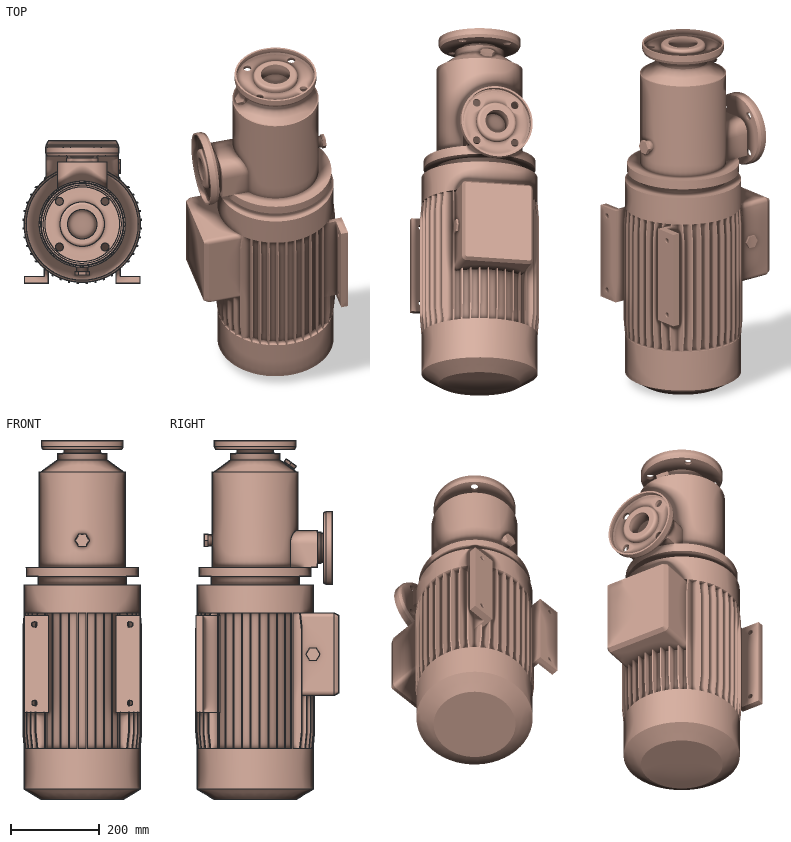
import cadquery as cq
import math

total_height = 810.0
base_taper_top = 23.5
fins_bottom = 116.0
fins_top = 421.0
motor_top = 484.0
casing_flange_bottom = 504.0
casing_flange_top = 524.0
cone_bottom = 739.0
collar_bottom = 766.0
collar_top = 781.0

motor_radius = 131.0
base_radius = 92.0
fin_root_radius = 117.0
fin_tip_radius = 134.5
spigot_radius = 100.0
casing_flange_radius = 126.0
casing_radius = 97.0
cone_base_radius = 94.0
collar_radius = 56.0

fins_per_side = 10
fin_pitch_angle = 9.0
fin_pitch_radius = 129.0
fin_thickness = 2.5
fin_end_taper = 36.5

box_width = 164.0
box_back = 189.0
box_bottom = 235.0
box_edge_fillet = 10.0
lid_chamfer_depth = 10.5
lid_chamfer_width = 6.0

hexagon_sides = 6
gland_corner_diameter = 31.5
gland_length = 5.0
gland_y = 130.5

foot_outer_x = 130.5
foot_inner_x = 76.0
foot_front = -134.0
foot_thickness = 16.0
foot_leg_thickness = 10.0
foot_bottom = 197.0
foot_top = 415.5
foot_hole_x = 108.0
foot_hole_diameter = 12.0
foot_hole_heights = (218.0, 395.0)

flange_thickness = 20.0
flange_rim = 4.0
flange_recess_depth = 13.0
flange_recess_chamfer_width = 4.0
flange_recess_chamfer_height = 2.0
flange_chamfer_height = 6.5
flange_chamfer_width = 3.0
stub_lip_fillet = 6.5
bolt_hole_diameter = 18.0
bolt_count = 4
first_bolt_angle = 45
neck_foot_width = 2.5

inlet_flange_radius = 92.0
inlet_bolt_radius = 73.0
inlet_stub_radius = 50.0
inlet_neck_radius = 41.0
inlet_neck_foot_height = 2.0
inlet_bore_radius = 33.0

outlet_flange_radius = 83.0
outlet_bolt_radius = 62.0
outlet_stub_radius = 45.0
outlet_neck_radius = 33.0
outlet_neck_foot_height = 9.0
outlet_bore_radius = 27.0
outlet_face_y = 174.0
outlet_height = 568.0

outlet_block_width = 112.5
outlet_block_back = 140.0
outlet_block_top = 607.5
outlet_block_fillet = 30.0

plug_stem_radius = 13.0
plug_head_across_flats = 28.0
plug_head_thickness = 8.0
drain_plug_height = 585.0
drain_stem_length = 10.0
vent_plug_radius = 75.0
vent_stem_length = 2.5
plug_embedding = 4.0


def revolved(points):
    """Turn a closed (radius, height) outline about the Z axis."""
    return cq.Workplane("XZ").polyline(points).close().revolve(360, (0, 0, 0), (0, 1, 0))


def block(x_range, y_range, z_range):
    """Box between the given limits along X, Y and Z."""
    lows, highs = zip(x_range, y_range, z_range)
    sizes = [high - low for low, high in zip(lows, highs)]
    return cq.Workplane("XY").box(*sizes, centered=False).translate(lows)


def motor_core():
    return revolved([
        (0, 0),
        (base_radius, 0),
        (motor_radius, base_taper_top),
        (motor_radius, fins_bottom),
        (fin_root_radius, fins_bottom),
        (fin_root_radius, fins_top),
        (motor_radius, fins_top),
        (motor_radius, motor_top),
        (0, motor_top),
    ])


def cooling_fins():
    """Parallel plates in X and Y, trimmed to a round outline that tapers at both ends."""
    outline = revolved([
        (0, fins_bottom),
        (motor_radius, fins_bottom),
        (fin_tip_radius, fins_bottom + fin_end_taper),
        (fin_tip_radius, fins_top - fin_end_taper),
        (motor_radius, fins_top),
        (0, fins_top),
    ])
    fin_height = fins_top - fins_bottom
    fin_span = 2 * fin_tip_radius
    plates = cq.Workplane("XY")
    for index in range(fins_per_side):
        angle = math.radians((index - (fins_per_side - 1) / 2) * fin_pitch_angle)
        offset = fin_pitch_radius * math.sin(angle)
        plate = cq.Workplane("XY").box(fin_span, fin_thickness, fin_height, centered=(True, True, False))
        plate = plate.translate((0, offset, fins_bottom))
        plates = plates.union(plate).union(plate.rotate((0, 0, 0), (0, 0, 1), 90))
    return plates.intersect(outline)


def terminal_box():
    half_width = box_width / 2
    box = block((-half_width, half_width), (0, box_back - lid_chamfer_depth), (box_bottom, fins_top))
    box = box.edges("|Y").fillet(box_edge_fillet)
    taper = math.degrees(math.atan2(lid_chamfer_width, lid_chamfer_depth))
    return box.faces(">Y").wires().toPending().workplane().extrude(lid_chamfer_depth, taper=taper)


def cable_gland():
    gland_height = (box_bottom + fins_top) / 2
    gland = cq.Workplane("YZ").polygon(hexagon_sides, gland_corner_diameter).extrude(gland_length)
    return gland.translate((box_width / 2, gland_y, gland_height))


def mounting_foot():
    """Foot on the -X side."""
    leg_x = (-foot_inner_x - foot_leg_thickness, -foot_inner_x)
    heights = (foot_bottom, foot_top)
    plate = block((-foot_outer_x, -foot_inner_x), (foot_front, foot_front + foot_thickness), heights)
    leg = block(leg_x, (foot_front, -fin_root_radius / 2), heights)
    holes = (
        cq.Workplane("XZ", origin=(0, foot_front + foot_thickness, 0))
        .pushPoints([(-foot_hole_x, height) for height in foot_hole_heights])
        .circle(foot_hole_diameter / 2)
        .extrude(foot_thickness)
    )
    return plate.union(leg).cut(holes)


def motor():
    foot = mounting_foot()
    body = motor_core().union(cooling_fins())
    for part in (foot, foot.mirror("YZ"), terminal_box(), cable_gland()):
        body = body.union(part)
    return body


def pump_casing():
    return revolved([
        (0, motor_top),
        (spigot_radius, motor_top),
        (spigot_radius, casing_flange_bottom),
        (casing_flange_radius, casing_flange_bottom),
        (casing_flange_radius, casing_flange_top),
        (casing_radius, casing_flange_top),
        (casing_radius, cone_bottom),
        (cone_base_radius, cone_bottom),
        (collar_radius, collar_bottom),
        (collar_radius, collar_top),
        (0, collar_top),
    ])


def pipe_connection(
    flange_radius, bolt_radius, stub_radius, neck_radius, foot_height, bore_radius, length
):
    """Flanged neck along +Z, with its outer face at the origin and its foot at -length."""
    recess_radius = flange_radius - flange_rim
    floor = -flange_recess_depth
    lip_middle = stub_lip_fillet * (1 - math.sqrt(0.5))
    body = (
        cq.Workplane("XZ")
        .moveTo(bore_radius, -length)
        .lineTo(neck_radius + neck_foot_width, -length)
        .lineTo(neck_radius + neck_foot_width, foot_height - length)
        .lineTo(neck_radius, foot_height - length)
        .lineTo(neck_radius, -flange_thickness)
        .lineTo(flange_radius - flange_chamfer_width, -flange_thickness)
        .lineTo(flange_radius, flange_chamfer_height - flange_thickness)
        .lineTo(flange_radius, 0)
        .lineTo(recess_radius, 0)
        .lineTo(recess_radius, floor + flange_recess_chamfer_height)
        .lineTo(recess_radius - flange_recess_chamfer_width, floor)
        .lineTo(stub_radius, floor)
        .lineTo(stub_radius, -stub_lip_fillet)
        .threePointArc((stub_radius - lip_middle, -lip_middle), (stub_radius - stub_lip_fillet, 0))
        .lineTo(bore_radius, 0)
        .close()
        .revolve(360, (0, 0, 0), (0, 1, 0))
    )
    bolt_holes = (
        cq.Workplane("XY")
        .polarArray(bolt_radius, first_bolt_angle, 360, bolt_count)
        .circle(bolt_hole_diameter / 2)
        .extrude(-flange_thickness)
    )
    return body.cut(bolt_holes)


def inlet():
    connection = pipe_connection(
        inlet_flange_radius, inlet_bolt_radius, inlet_stub_radius,
        inlet_neck_radius, inlet_neck_foot_height, inlet_bore_radius,
        total_height - collar_top,
    )
    return connection.translate((0, 0, total_height))


def outlet():
    connection = pipe_connection(
        outlet_flange_radius, outlet_bolt_radius, outlet_stub_radius,
        outlet_neck_radius, outlet_neck_foot_height, outlet_bore_radius,
        outlet_face_y - outlet_block_back,
    )
    connection = connection.rotate((0, 0, 0), (1, 0, 0), -90)
    return connection.translate((0, outlet_face_y, outlet_height))


def outlet_block():
    half_width = outlet_block_width / 2
    heights = (casing_flange_top, outlet_block_top)
    casting = block((-half_width, half_width), (0, outlet_block_back), heights)
    return casting.edges("|Y and >Z").fillet(outlet_block_fillet)


def screw_plug(stem_length):
    """Plug along +Z whose stem leaves the surface at the origin."""
    stem = cq.Workplane("XY", origin=(0, 0, -plug_embedding)).circle(plug_stem_radius)
    stem = stem.extrude(plug_embedding + stem_length)
    corner_diameter = plug_head_across_flats / math.cos(math.pi / hexagon_sides)
    head = cq.Workplane("XY", origin=(0, 0, stem_length)).polygon(hexagon_sides, corner_diameter)
    return stem.union(head.extrude(plug_head_thickness))


def drain_plug():
    """Plug on the -Y side of the casing."""
    plug = screw_plug(drain_stem_length).rotate((0, 0, 0), (1, 0, 0), 90)
    return plug.translate((0, -casing_radius, drain_plug_height))


def vent_plug():
    """Plug square to the casing cone, on the +Y side."""
    cone_slope = (collar_bottom - cone_bottom) / (cone_base_radius - collar_radius)
    height = cone_bottom + (cone_base_radius - vent_plug_radius) * cone_slope
    tilt = math.degrees(math.atan(cone_slope))
    plug = screw_plug(vent_stem_length).rotate((0, 0, 0), (1, 0, 0), -tilt)
    return plug.translate((0, vent_plug_radius, height))


def pump():
    body = pump_casing()
    for part in (inlet(), outlet_block(), outlet(), drain_plug(), vent_plug()):
        body = body.union(part)
    return body


result = cq.Compound.makeCompound([motor().val(), pump().val()])